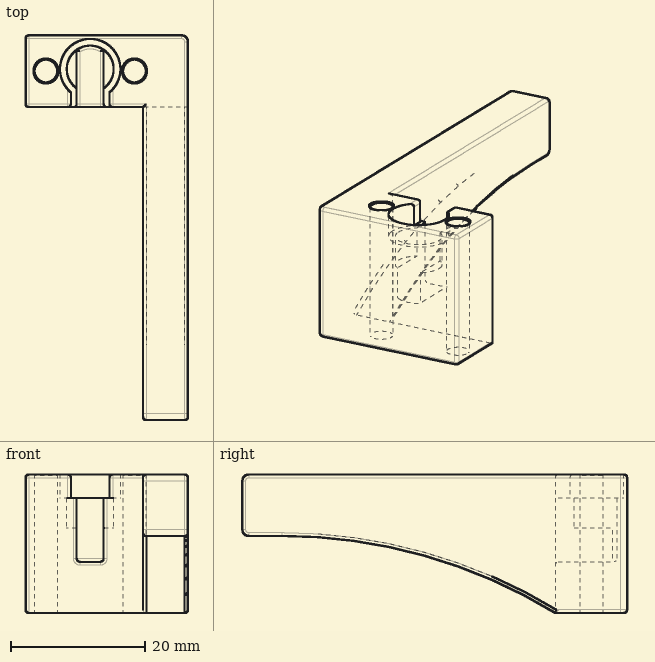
import cadquery as cq
import math

width = 24.2
length = 57.35
height = 20.65
block_depth = 10.7
arm_width = 6.7
arm_tip_height = 9.2
arch_length = 40.7

edge_radius = 0.5
tip_radius = 1.0

pocket_x = 9.65
pocket_y = -5.05
counterbore_diameter = 9.0
counterbore_depth = 3.5
entry_width = 5.75
bore_diameter = 7.0
bore_depth = 8.0
slot_width = 4.0
slot_depth = 13.0

hole_diameter = 3.4
hole_offset = 6.6
hole_y = -5.35
hole_chamfer = 0.2

arm_x = width - arm_width
arm_bottom = height - arm_tip_height
arch_end_y = -block_depth - arch_length
front_y = -block_depth


def edges_near(solid, *points):
    """Edges of the solid passing through the given points."""
    found = []
    for point in points:
        vertex = cq.Vertex.makeVertex(*point)
        found.append(min(solid.Edges(), key=lambda edge: edge.distance(vertex)))
    return found


def make_body():
    block = cq.Workplane("XY").box(width, block_depth, height, centered=False)
    block = block.translate((0, -block_depth, 0))

    arch_radius = (arch_length**2 + arm_bottom**2) / (2 * arm_bottom)
    half_angle = math.atan2(arm_bottom, arch_length)
    arch_mid = (
        arch_end_y + arch_radius * math.sin(half_angle),
        arm_bottom - arch_radius * (1 - math.cos(half_angle)),
    )
    arm = (
        cq.Workplane("YZ", origin=(arm_x, 0, 0))
        .moveTo(front_y, 0)
        .threePointArc(arch_mid, (arch_end_y, arm_bottom))
        .lineTo(-length, arm_bottom)
        .lineTo(-length, height)
        .lineTo(front_y, height)
        .close()
        .extrude(arm_width)
    )
    return block.union(arm).clean()


def channel(size, depth):
    """Straight channel from the pocket axis out through the block's front face."""
    run = pocket_y - front_y
    return cq.Workplane("XY", origin=(pocket_x, pocket_y - run / 2, height - depth)).box(
        size, run, depth, centered=(True, True, False)
    )


def bore(diameter, depth):
    """Round pocket sunk from the top face on the pocket axis."""
    floor = cq.Workplane("XY", origin=(pocket_x, pocket_y, height - depth))
    return floor.circle(diameter / 2).extrude(depth)


def make_slot():
    """Slot with its back wall on the bore's cylinder and its floor edges rounded."""
    run = pocket_y - front_y + bore_diameter / 2
    deep_bore = bore(bore_diameter, slot_depth)
    blank = cq.Workplane("XY", origin=(pocket_x, front_y + run / 2, height - slot_depth)).box(
        slot_width, run, slot_depth, centered=(True, True, False)
    )
    slot = blank.intersect(deep_bore.union(channel(slot_width, slot_depth))).clean()
    return slot.faces("<Z").edges("not <Y").fillet(edge_radius)


def cut_pocket(body):
    body = body.cut(bore(counterbore_diameter, counterbore_depth))
    body = body.cut(channel(entry_width, counterbore_depth))
    body = body.cut(bore(bore_diameter, bore_depth))
    return body.cut(make_slot())


def round_tip(body):
    """Larger rounding on the arm's end and on the back right corner."""
    arm_mid_x = arm_x + arm_width / 2
    solid = body.val()
    edges = edges_near(
        solid,
        (arm_mid_x, -length, height),
        (arm_mid_x, -length, arm_bottom),
        (width, 0, height / 2),
    )
    return cq.Workplane(solid.fillet(tip_radius, edges))


def round_edges(body):
    """Outer edges and the mouth of the pocket; fillets follow smoothly joined edges."""
    solid = body.val()
    mid_y = (front_y - length) / 2
    left_of_pocket = (pocket_x - entry_width / 2) / 2
    right_of_pocket = (pocket_x + entry_width / 2 + arm_x) / 2
    mid_arm_height = (arm_bottom + height) / 2
    points = [
        (0, 0, height / 2),
        (0, front_y, height / 2),
        (0, front_y / 2, height),
        (0, front_y / 2, 0),
        (width / 2, 0, height),
        (width / 2, 0, 0),
        (left_of_pocket, front_y, height),
        (right_of_pocket, front_y, height),
        (arm_x, mid_y, height),
        (width, mid_y, height),
        (arm_x, -length, mid_arm_height),
        (width, -length, mid_arm_height),
        (arm_x, arch_end_y - tip_radius, arm_bottom),
        (width, arch_end_y - tip_radius, arm_bottom),
        (width, front_y / 2, 0),
        (pocket_x, front_y, height - slot_depth),
    ]
    entry_z = height - counterbore_depth / 2
    slot_z = height - (counterbore_depth + slot_depth) / 2
    for side in (-1, 1):
        entry_x = pocket_x + side * entry_width / 2
        points.append((entry_x, front_y, entry_z))
        points.append((entry_x, front_y + edge_radius, height))
        points.append((pocket_x + side * slot_width / 2, front_y, slot_z))
    return cq.Workplane(solid.fillet(edge_radius, edges_near(solid, *points)))


def drill_holes(body):
    """Through holes with a small chamfer at the top."""
    mouth = hole_diameter + 2 * hole_chamfer
    for side in (-1, 1):
        top = cq.Workplane("XY", origin=(pocket_x + side * hole_offset, hole_y, height))
        body = body.cut(top.circle(hole_diameter / 2).extrude(-height))
        body = body.cut(top.circle(mouth / 2).extrude(-hole_chamfer, taper=45))
    return body


result = drill_holes(round_edges(round_tip(cut_pocket(make_body()))))